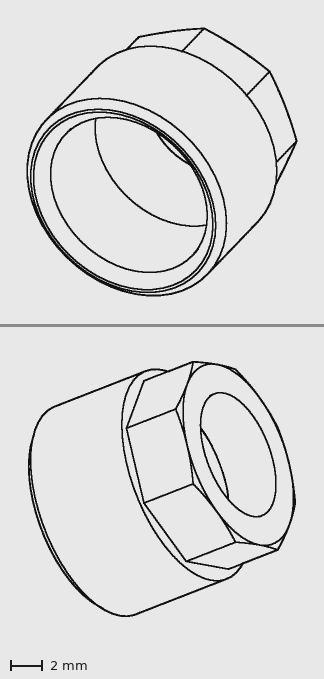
import cadquery as cq
import math

collar_radius = 7.0
total_length = 11.5
collar_length = 7.5
collar_chamfer = 0.5

octagon_sides = 8
octagon_corner_radius = 6.5
octagon_flat_radius = octagon_corner_radius * math.cos(math.pi / octagon_sides)
corner_chamfer_length = 0.21

mouth_radius = 6.3
socket_radius = 5.5
through_radius = 4.1
mouth_depth = mouth_radius - socket_radius
socket_depth = 7.0
seat_half_angle = math.radians(60.0)
throat_rounding = 0.5

throat_center_radius = through_radius + throat_rounding
seat_radius = throat_center_radius - throat_rounding * math.cos(seat_half_angle)
seat_end = socket_depth + (socket_radius - seat_radius) / math.tan(seat_half_angle)
throat_end = seat_end + throat_rounding * math.sin(seat_half_angle)
throat_middle_radius = throat_center_radius - throat_rounding * math.cos(seat_half_angle / 2)
throat_middle = throat_end - throat_rounding * math.sin(seat_half_angle / 2)


def revolve_profile(points):
    """Turn a closed (radius, y) outline about the Y axis."""
    return cq.Workplane("XY").polyline(points).close().revolve(360, (0, 0, 0), (0, 1, 0))


def make_collar():
    return revolve_profile([
        (0, 0),
        (collar_radius - collar_chamfer, 0),
        (collar_radius, collar_chamfer),
        (collar_radius, collar_length),
        (0, collar_length),
    ])


def make_octagon():
    """Octagonal prism with its corners turned off by a cone at the free end."""
    prism = (
        cq.Workplane("XZ")
        .polygon(octagon_sides, 2 * octagon_corner_radius)
        .extrude(-total_length)
    )
    turned_envelope = revolve_profile([
        (0, 0),
        (octagon_corner_radius, 0),
        (octagon_corner_radius, total_length - corner_chamfer_length),
        (octagon_flat_radius, total_length),
        (0, total_length),
    ])
    return prism.intersect(turned_envelope)


def make_bore():
    """Flared socket, conical seat and smaller through hole with a rounded throat."""
    return (
        cq.Workplane("XY")
        .lineTo(mouth_radius, 0)
        .lineTo(socket_radius, mouth_depth)
        .lineTo(socket_radius, socket_depth)
        .lineTo(seat_radius, seat_end)
        .threePointArc((throat_middle_radius, throat_middle), (through_radius, throat_end))
        .lineTo(through_radius, total_length)
        .lineTo(0, total_length)
        .close()
        .revolve(360, (0, 0, 0), (0, 1, 0))
    )


result = make_collar().union(make_octagon()).cut(make_bore())